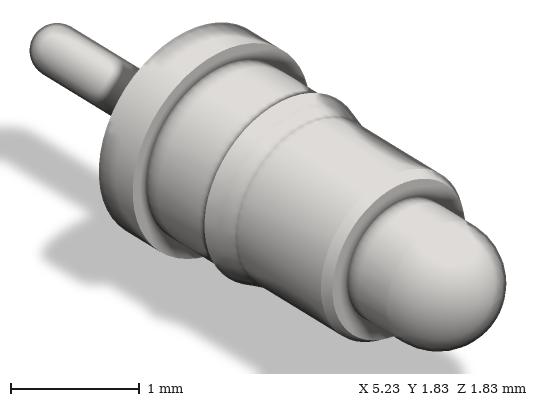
import cadquery as cq
import math

TAIL_LENGTH = 1.75
FLANGE_THICKNESS = 0.40
COLLAR_LENGTH = 0.73
BARB_LENGTH = 0.28
BARREL_LENGTH = 1.08
PLUNGER_LENGTH = 0.99

TAIL_DIAMETER = 0.43
FLANGE_DIAMETER = 1.83
COLLAR_DIAMETER = 1.55
BARB_DIAMETER = 1.63
BARREL_DIAMETER = 1.47
PLUNGER_DIAMETER = 1.06

TAIL_ROOT_FILLET = 0.08
MOUTH_CHAMFER_LENGTH = 0.08
MOUTH_CHAMFER_DEPTH = 0.05

tail_r = TAIL_DIAMETER / 2
flange_r = FLANGE_DIAMETER / 2
collar_r = COLLAR_DIAMETER / 2
barb_r = BARB_DIAMETER / 2
barrel_r = BARREL_DIAMETER / 2
plunger_r = PLUNGER_DIAMETER / 2

flange_start = TAIL_LENGTH
flange_end = flange_start + FLANGE_THICKNESS
barb_start = flange_end + COLLAR_LENGTH
barb_end = barb_start + BARB_LENGTH
barrel_end = barb_end + BARREL_LENGTH
tip = barrel_end + PLUNGER_LENGTH

DIAGONAL = math.sqrt(0.5)


def half_profile():
    """Closed half section of the pin: X is the pin axis, Y the radius."""
    fillet_center_x = flange_start - TAIL_ROOT_FILLET
    fillet_center_y = tail_r + TAIL_ROOT_FILLET
    fillet_mid = (
        fillet_center_x + TAIL_ROOT_FILLET * DIAGONAL,
        fillet_center_y - TAIL_ROOT_FILLET * DIAGONAL,
    )
    tail_dome_mid = (tail_r * (1 - DIAGONAL), tail_r * DIAGONAL)
    dome_start = tip - plunger_r
    plunger_dome_mid = (dome_start + plunger_r * DIAGONAL, plunger_r * DIAGONAL)
    return (
        cq.Workplane("XY")
        .threePointArc(tail_dome_mid, (tail_r, tail_r))
        .lineTo(fillet_center_x, tail_r)
        .threePointArc(fillet_mid, (flange_start, fillet_center_y))
        .lineTo(flange_start, flange_r)
        .lineTo(flange_end, flange_r)
        .lineTo(flange_end, collar_r)
        .lineTo(barb_start, collar_r)
        .lineTo(barb_start, barb_r)
        .lineTo(barb_end, barrel_r)
        .lineTo(barrel_end - MOUTH_CHAMFER_LENGTH, barrel_r)
        .lineTo(barrel_end, barrel_r - MOUTH_CHAMFER_DEPTH)
        .lineTo(barrel_end, plunger_r)
        .lineTo(dome_start, plunger_r)
        .threePointArc(plunger_dome_mid, (tip, 0))
        .close()
    )


def spring_pin():
    """Revolve the half section about X and centre its length on the origin."""
    body = half_profile().revolve(360, (0, 0, 0), (1, 0, 0))
    return body.translate((-tip / 2, 0, 0))


result = spring_pin()